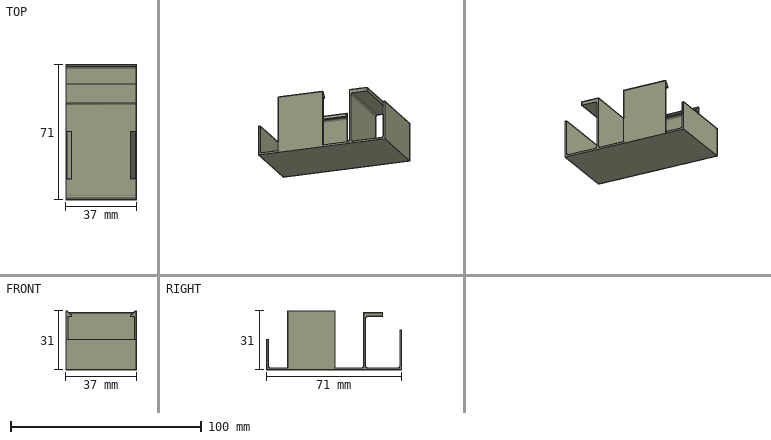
import cadquery as cq

width = 37.0
length = 71.0
floor_thickness = 1.0

end_wall_thickness = 1.0
front_wall_height = 16.0
rear_wall_height = 21.0

partition_thickness = 1.0
partition_height = 30.0
partition_setback = 20.0
partition_front_y = length - partition_setback
hook_length = 10.0
hook_thickness = 2.0

clip_start_y = 11.0
clip_length = 25.0
clip_height = 31.0
clip_thickness = 1.0
clip_tip_width = 0.5
barb_reach = 3.0
barb_nose = 0.5

corner_radius = 1.0
clip_root_radius = 1.0
barb_root_radius = 0.5


def corner_fillet(wall, y, z):
    """Round the inner corner of a wall that runs along X at the given y and z."""
    selector = cq.selectors.NearestToPointSelector((0, y, z))
    return wall.edges("|X").edges(selector).fillet(corner_radius)


def make_channel():
    """Base plate with the end walls and the hooked partition, as one section across the width."""
    partition_rear_y = partition_front_y + partition_thickness
    hook_tip_y = partition_front_y + hook_length
    hook_underside_z = partition_height - hook_thickness
    front_inner_y = end_wall_thickness
    rear_inner_y = length - end_wall_thickness

    outline = [
        (0, 0),
        (length, 0),
        (length, rear_wall_height),
        (rear_inner_y, rear_wall_height),
        (rear_inner_y, floor_thickness),
        (partition_rear_y, floor_thickness),
        (partition_rear_y, hook_underside_z),
        (hook_tip_y, hook_underside_z),
        (hook_tip_y, partition_height),
        (partition_front_y, partition_height),
        (partition_front_y, floor_thickness),
        (front_inner_y, floor_thickness),
        (front_inner_y, front_wall_height),
        (0, front_wall_height),
    ]
    channel = cq.Workplane("YZ").polyline(outline).close().extrude(width / 2, both=True)

    inner_corners = [
        (front_inner_y, floor_thickness),
        (partition_front_y, floor_thickness),
        (partition_rear_y, floor_thickness),
        (rear_inner_y, floor_thickness),
        (partition_rear_y, hook_underside_z),
    ]
    for y, z in inner_corners:
        channel = corner_fillet(channel, y, z)
    return channel


def make_left_clip():
    """Thin upright clip on the -X side, with an inward barb and a rounded root on the floor."""
    outer_x = -width / 2
    inner_x = outer_x + clip_thickness
    barb_x = outer_x + barb_reach
    tip_x = outer_x + clip_tip_width
    nose_top_z = clip_height - (barb_reach - clip_tip_width)
    barb_underside_z = nose_top_z - barb_nose

    return (
        cq.Workplane("XZ", origin=(0, clip_start_y, 0))
        .moveTo(outer_x, 0)
        .lineTo(outer_x, clip_height)
        .lineTo(tip_x, clip_height)
        .lineTo(barb_x, nose_top_z)
        .lineTo(barb_x, barb_underside_z)
        .lineTo(inner_x + barb_root_radius, barb_underside_z)
        .radiusArc((inner_x, barb_underside_z - barb_root_radius), -barb_root_radius)
        .lineTo(inner_x, floor_thickness + clip_root_radius)
        .radiusArc((inner_x + clip_root_radius, floor_thickness), -clip_root_radius)
        .lineTo(inner_x + clip_root_radius, 0)
        .close()
        .extrude(-clip_length)
    )


left_clip = make_left_clip()
right_clip = left_clip.mirror("YZ")
result = make_channel().union(left_clip).union(right_clip)